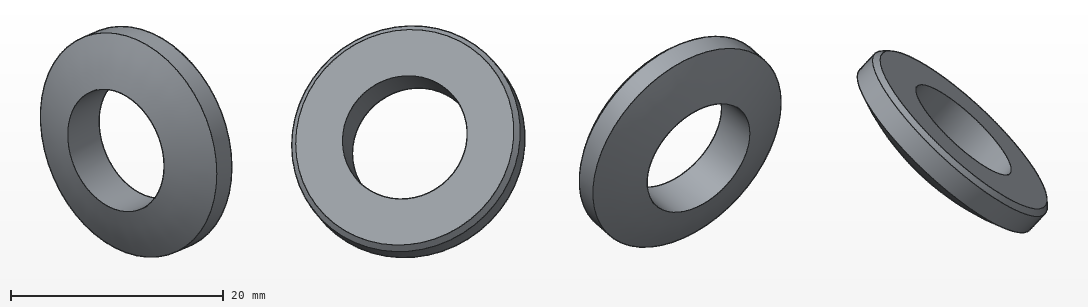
import cadquery as cq
import math

outer_diameter = 22.0
bore_diameter = 11.98
thickness = 4.5
dome_radius = 24.98
back_chamfer = 0.5

outer_radius = outer_diameter / 2
bore_radius = bore_diameter / 2


def dome_height(radius):
    """Height of the dome above its sphere centre, at a distance from the axis."""
    return math.sqrt(dome_radius**2 - radius**2)


def dome_y(radius):
    """Y of the domed face, which meets the bore at the full thickness."""
    return dome_height(bore_radius) - dome_height(radius) - thickness


middle_radius = (bore_radius + outer_radius) / 2

section = (
    cq.Workplane("XY")
    .moveTo(bore_radius, 0)
    .lineTo(outer_radius - back_chamfer, 0)
    .lineTo(outer_radius, -back_chamfer)
    .lineTo(outer_radius, dome_y(outer_radius))
    .threePointArc((middle_radius, dome_y(middle_radius)), (bore_radius, -thickness))
    .close()
)

result = section.revolve(360, (0, 0, 0), (0, 1, 0))